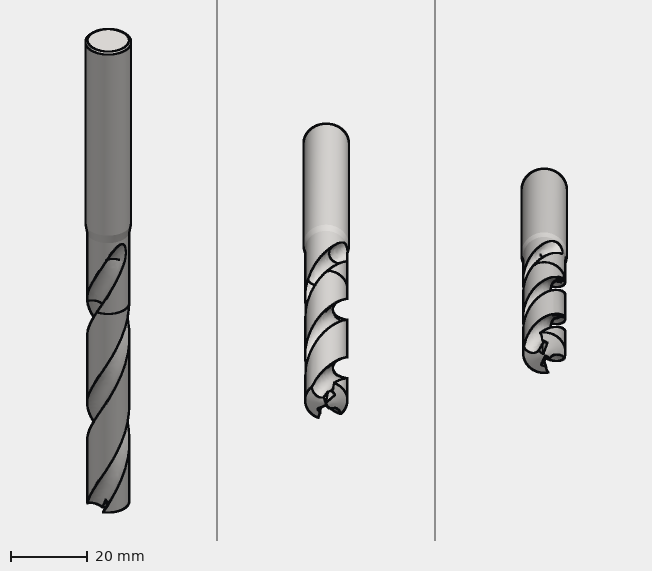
import cadquery as cq
import math

total_length = 146.0
shank_bottom = 88.8
neck_top = 86.1
joint_height = 64.1
flute_top = 78.7
runout_top = 85.3

shank_radius = 6.0
drill_radius = 5.5
shank_chamfer = 0.6
point_angle = 140.0
point_height = drill_radius / math.tan(math.radians(point_angle / 2))

flute_count = 2
flute_lead = 65.3
flute_radius = 2.9
web_radius = 1.8
flute_center = web_radius + flute_radius
flute_start_angle = 99.0
flute_overrun = 1.5
runout_rise = 3.4

gash_height = 4.7
gash_width = 3.5
gash_depth = 1.6
chisel_half_thickness = 0.3


def helix_angle(height):
    """Direction, in degrees, of the first flute at a given height."""
    return flute_start_angle + 360 * height / flute_lead


def flute_circle(height):
    """Section of the first flute, drawn at a given height."""
    angle = math.radians(helix_angle(height))
    x = flute_center * math.cos(angle)
    y = flute_center * math.sin(angle)
    return cq.Workplane("XY").workplane(offset=height).center(x, y).circle(flute_radius)


def helical_flute():
    """Cutter for the flute, from below the point up to the run-out."""
    length = flute_top + flute_overrun
    angle = math.radians(helix_angle(-flute_overrun))
    return (
        cq.Workplane("XY")
        .workplane(offset=-flute_overrun)
        .pushPoints([(flute_center * math.cos(angle), flute_center * math.sin(angle))])
        .circle(flute_radius)
        .twistExtrude(length, 360 * length / flute_lead)
    )


def flute_runout():
    """Cutter that carries the flute on along its tangent while it leaves the drill."""
    height = runout_top - flute_top + flute_overrun
    rise = runout_rise * height / (runout_top - flute_top)
    sideways = 2 * math.pi * flute_center * height / flute_lead
    angle = math.radians(helix_angle(flute_top))
    direction = cq.Vector(
        rise * math.cos(angle) - sideways * math.sin(angle),
        rise * math.sin(angle) + sideways * math.cos(angle),
        height,
    )
    section = flute_circle(flute_top).wires().val()
    return cq.Workplane(cq.Solid.extrudeLinear(cq.Face.makeFromWires(section), direction))


def point_gash():
    """Wedge cutter under a sloping plane, narrowing to a peak above the point."""
    wedge = (
        cq.Workplane("YZ")
        .moveTo(-chisel_half_thickness, 0)
        .lineTo(-gash_depth, gash_height)
        .lineTo(-drill_radius, gash_height)
        .lineTo(-drill_radius, 0)
        .close()
        .extrude(gash_width)
    )
    peak = (
        cq.Workplane("XZ")
        .lineTo(gash_width / 2, gash_height)
        .lineTo(gash_width, 0)
        .close()
        .extrude(drill_radius)
    )
    return wedge.intersect(peak)


def cut_around(body, cutter):
    """Cut one feature at every flute position."""
    for index in range(flute_count):
        body = body.cut(cutter.rotate((0, 0, 0), (0, 0, 1), index * 360 / flute_count))
    return body


def make_shank():
    """Plain shank, its tapered shoulder and the upper end of the flutes."""
    shank = (
        cq.Workplane("XZ")
        .moveTo(0, joint_height)
        .lineTo(drill_radius, joint_height)
        .lineTo(drill_radius, neck_top)
        .lineTo(shank_radius, shank_bottom)
        .lineTo(shank_radius, total_length - shank_chamfer)
        .lineTo(shank_radius - shank_chamfer, total_length)
        .lineTo(0, total_length)
        .close()
        .revolve(360, (0, 0, 0), (0, 1, 0))
    )
    shank = cut_around(shank, helical_flute())
    return cut_around(shank, flute_runout())


def make_cutting_head():
    """Fluted lower part of the drill with its conical point."""
    head = (
        cq.Workplane("XZ")
        .lineTo(drill_radius, point_height)
        .lineTo(drill_radius, joint_height)
        .lineTo(0, joint_height)
        .close()
        .revolve(360, (0, 0, 0), (0, 1, 0))
    )
    head = cut_around(head, helical_flute())
    return cut_around(head, point_gash())


shank = make_shank()
cutting_head = make_cutting_head()

result = cq.Compound.makeCompound([shank.val(), cutting_head.val()])